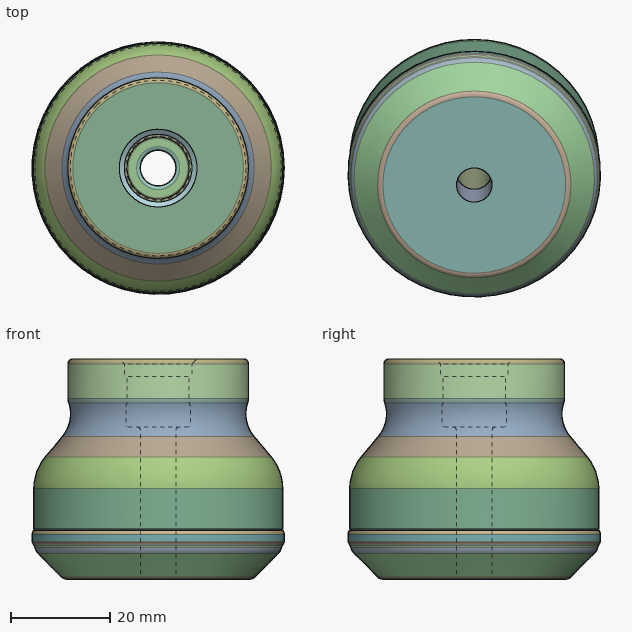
import cadquery as cq
import math

HEIGHT = 44.45
JOINT_Z = 9.9

HEAD_RADIUS = 18.2
HEAD_ROUND = 1.0
HEAD_EDGE_ROUND = 2.75
NECK_RADIUS = 17.7
NECK_Z = 33.35
NECK_ROUND = 7.1
SLOPE_TILT = math.radians(40)
BELLY_RADIUS = 25.15
SHOULDER_ROUND = 9.95
BELLY_CHAMFER = 0.3

MOUTH_CHAMFER = 1.0
MOUTH_RADIUS = 6.8
LEDGE_DEPTH = 3.55
BORE_RADIUS = 6.25
BORE_DEPTH = 8.75
CHAMBER_RADIUS = 6.5
CHAMBER_FLARE = 0.8
CHAMBER_ROUND = 0.5
FLOOR_DEPTH = 13.75
HOLE_RADIUS = 3.55
HOLE_ROUND = 0.75

BAND_RADIUS = 25.45
BAND_TOP_Z = 9.05
BAND_TOP_ROUND = 1.3
BAND_BOTTOM_Z = 7.65
TAPER_POINTS = [(25.4, 7.45), (25.25, 7.1), (25.05, 6.75)]
BOWL_RADIUS = 24.9
BOWL_Z = 6.4
BOWL_ROUND = 2.4
BOWL_START_TILT = math.radians(12)
BOWL_END_TILT = math.radians(45)
FOOT_RADIUS = 18.45
FOOT_ROUND = 1.55


def arc_point(center, radius, angle):
    """Point on a circle in the (radius, height) half plane."""
    return (center[0] + radius * math.cos(angle), center[1] + radius * math.sin(angle))


def arc_to(profile, center, radius, start_angle, end_angle):
    """Continue a profile along a circle, from start_angle to end_angle."""
    middle = arc_point(center, radius, (start_angle + end_angle) / 2)
    end = arc_point(center, radius, end_angle)
    return profile.threePointArc(middle, end)


def revolve_profile(profile):
    """Close a (radius, height) profile and turn it about the Z axis."""
    return profile.close().revolve(360, (0, 0, 0), (0, 1, 0))


def knob_outside():
    edge_tilt = math.acos(1 - (HEAD_RADIUS - NECK_RADIUS) / (HEAD_EDGE_ROUND + NECK_ROUND))
    edge_z = NECK_Z + (HEAD_EDGE_ROUND + NECK_ROUND) * math.sin(edge_tilt)
    edge_center = (HEAD_RADIUS - HEAD_EDGE_ROUND, edge_z)
    neck_center = (NECK_RADIUS + NECK_ROUND, NECK_Z)

    flank_top = arc_point(neck_center, NECK_ROUND, math.pi + SLOPE_TILT)
    flank_bottom_radius = BELLY_RADIUS - SHOULDER_ROUND * (1 - math.cos(SLOPE_TILT))
    flank_height = (flank_bottom_radius - flank_top[0]) / math.tan(SLOPE_TILT)
    flank_bottom_z = flank_top[1] - flank_height
    shoulder_z = flank_bottom_z - SHOULDER_ROUND * math.sin(SLOPE_TILT)
    shoulder_center = (BELLY_RADIUS - SHOULDER_ROUND, shoulder_z)

    head_round_center = (HEAD_RADIUS - HEAD_ROUND, HEIGHT - HEAD_ROUND)

    profile = cq.Workplane("XZ").moveTo(0, JOINT_Z).lineTo(0, HEIGHT)
    profile = profile.lineTo(HEAD_RADIUS - HEAD_ROUND, HEIGHT)
    profile = arc_to(profile, head_round_center, HEAD_ROUND, math.pi / 2, 0)
    profile = profile.lineTo(HEAD_RADIUS, edge_z)
    profile = arc_to(profile, edge_center, HEAD_EDGE_ROUND, 0, -edge_tilt)
    profile = arc_to(profile, neck_center, NECK_ROUND, math.pi - edge_tilt, math.pi + SLOPE_TILT)
    profile = profile.lineTo(flank_bottom_radius, flank_bottom_z)
    profile = arc_to(profile, shoulder_center, SHOULDER_ROUND, SLOPE_TILT, 0)
    profile = profile.lineTo(BELLY_RADIUS, JOINT_Z + BELLY_CHAMFER)
    profile = profile.lineTo(BELLY_RADIUS - BELLY_CHAMFER, JOINT_Z)
    return revolve_profile(profile)


def knob_cavity():
    """Chamfered mouth, ledge, bore, wider chamber and rounded through hole."""
    floor_z = HEIGHT - FLOOR_DEPTH
    flare_z = HEIGHT - BORE_DEPTH
    corner_center = (CHAMBER_RADIUS - CHAMBER_ROUND, floor_z + CHAMBER_ROUND)
    hole_round_center = (HOLE_RADIUS + HOLE_ROUND, floor_z - HOLE_ROUND)

    profile = cq.Workplane("XZ").moveTo(0, JOINT_Z).lineTo(0, HEIGHT)
    profile = profile.lineTo(MOUTH_RADIUS + MOUTH_CHAMFER, HEIGHT)
    profile = profile.lineTo(MOUTH_RADIUS, HEIGHT - MOUTH_CHAMFER)
    profile = profile.lineTo(MOUTH_RADIUS, HEIGHT - LEDGE_DEPTH)
    profile = profile.lineTo(BORE_RADIUS, HEIGHT - LEDGE_DEPTH)
    profile = profile.lineTo(BORE_RADIUS, flare_z)
    profile = profile.lineTo(CHAMBER_RADIUS, flare_z - CHAMBER_FLARE)
    profile = profile.lineTo(CHAMBER_RADIUS, floor_z + CHAMBER_ROUND)
    profile = arc_to(profile, corner_center, CHAMBER_ROUND, 0, -math.pi / 2)
    profile = profile.lineTo(HOLE_RADIUS + HOLE_ROUND, floor_z)
    profile = arc_to(profile, hole_round_center, HOLE_ROUND, math.pi / 2, math.pi)
    profile = profile.lineTo(HOLE_RADIUS, JOINT_Z)
    return revolve_profile(profile)


def make_knob():
    return knob_outside().cut(knob_cavity())


def make_base():
    band_round_center = (BAND_RADIUS - BAND_TOP_ROUND, BAND_TOP_Z)
    rim_tilt = math.asin((JOINT_Z - BAND_TOP_Z) / BAND_TOP_ROUND)
    rim = arc_point(band_round_center, BAND_TOP_ROUND, rim_tilt)

    bowl_center = (
        BOWL_RADIUS - BOWL_ROUND * math.cos(BOWL_START_TILT),
        BOWL_Z + BOWL_ROUND * math.sin(BOWL_START_TILT),
    )
    foot_center = (FOOT_RADIUS, FOOT_ROUND)
    cone_bottom = arc_point(foot_center, FOOT_ROUND, -BOWL_END_TILT)

    profile = cq.Workplane("XZ").moveTo(HOLE_RADIUS, 0).lineTo(HOLE_RADIUS, JOINT_Z)
    profile = profile.lineTo(*rim)
    profile = arc_to(profile, band_round_center, BAND_TOP_ROUND, rim_tilt, 0)
    profile = profile.lineTo(BAND_RADIUS, BAND_BOTTOM_Z)
    for taper_point in TAPER_POINTS:
        profile = profile.lineTo(*taper_point)
    profile = profile.lineTo(BOWL_RADIUS, BOWL_Z)
    profile = arc_to(profile, bowl_center, BOWL_ROUND, -BOWL_START_TILT, -BOWL_END_TILT)
    profile = profile.lineTo(*cone_bottom)
    profile = arc_to(profile, foot_center, FOOT_ROUND, -BOWL_END_TILT, -math.pi / 2)
    return revolve_profile(profile)


knob = make_knob()
base = make_base()

result = cq.Compound.makeCompound([knob.val(), base.val()])